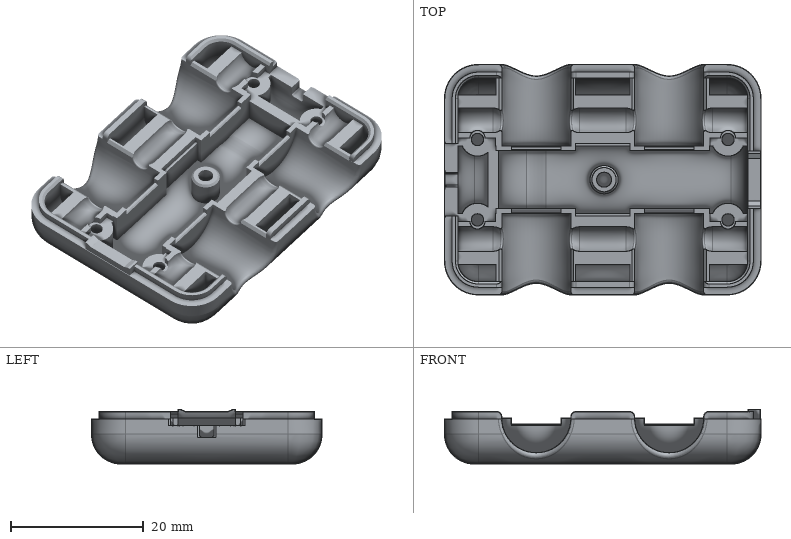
import cadquery as cq

LENGTH = 47.65
WIDTH = 34.69
CORNER_R = 5.1
BOTTOM_R = 4.5
LEDGE_Z = 6.75
LIP_Z = 7.9
TOP_Z = 8.24
LIP_INSET = 1.15
WALL = 2.0
FLOOR_Z = 1.91
CAVITY_BOTTOM_R = BOTTOM_R - WALL
LIP_CHAMFER = 0.35

CORE_Z = 6.9
SEAT_Z = 5.8
BAY_HALF = 4.36
CHANNEL_END = 5.1
BAY_END_X = 16.05

CHANNEL_X = 10.0
CHANNEL_R = 5.2
CHANNEL_EDGE_R = 0.5
CHANNEL_CHAMFER = 0.4
LIP_END_R = 0.8

NOTCH_HALF = 3.75
NOTCH_Z = 6.0
NOTCH_CHAMFER = 0.2

CRADLE_Y = 8.93
CRADLE_R = 1.85
CRADLE_RIM_R = 0.2
CRADLE_MID_HALF = 3.5
CRADLE_SIDE_X = 2 * CHANNEL_X - CRADLE_MID_HALF

POCKET_Y = 12.76
POCKET_MID_HALF = 4.1
POCKET_SIDE_X = 16.05

MID_RECESS_HALF_X = 4.14
MID_RECESS_Y = 5.45
END_RECESS_Y = 6.26
END_RECESS_X = 16.15

BOSS_X = 18.86
BOSS_Y = 6.05
BOSS_R = 2.5
BOSS_HOLE_D = 1.85
BOSS_CLEARANCE_D = 2.25
BOSS_CLEARANCE_Y = 6.3
POST_X = 0.2
POST_D = 4.25
POST_HOLE_D = 2.25
POST_CHAMFER = 0.3
CROSS_WALL_X = (-17.3, -15.66)

END_NOTCH_HALF = 5.45
SLOT_HALF = 1.08
SLOT_Z = 4.0
SLOT_CHAMFER = 0.25
FLARE_WIDTH = 0.33
FLARE_DEPTH = 0.15
OPENING_OVERRUN = 0.1
LATCH_HALF = 4.3
LATCH_INSET = 0.08
LATCH_SETBACK = 0.05
RIDGE_FLAT = 0.35
RIDGE_WIDTH = 1.1

HALF_X = LENGTH / 2
HALF_Y = WIDTH / 2
CAVITY_X = HALF_X - WALL
MARGIN = 1.0
NEAR = 0.1
SIDES = (-1, 1)


def box(x0, x1, y0, y1, z0, z1):
    return cq.Workplane("XY").box(x1 - x0, y1 - y0, z1 - z0, centered=False).translate((x0, y0, z0))


def centered_box(half_x, half_y, z0, z1):
    return box(-half_x, half_x, -half_y, half_y, z0, z1)


def cylinder(x, y, diameter, z0, z1):
    return cq.Workplane("XY", origin=(x, y, z0)).circle(diameter / 2).extrude(z1 - z0)


def rounded_slab(inset, z0, z1):
    """Upright block with the outer plan shape, offset inward."""
    slab = cq.Workplane("XY", origin=(0, 0, z0)).rect(LENGTH - 2 * inset, WIDTH - 2 * inset)
    return slab.extrude(z1 - z0).edges("|Z").fillet(CORNER_R - inset)


def for_each_corner(feature):
    """Union of one feature built for all four sign pairs of X and Y."""
    group = cq.Workplane("XY")
    for side_x in SIDES:
        for side_y in SIDES:
            group = group.union(feature(side_x, side_y))
    return group


def channel_bore(side_x, side_y):
    y0 = CHANNEL_END if side_y > 0 else -HALF_Y - MARGIN
    length = HALF_Y + MARGIN - CHANNEL_END
    bore = cq.Workplane("XZ", origin=(side_x * CHANNEL_X, y0, CORE_Z)).circle(CHANNEL_R)
    return bore.extrude(-length)


def mouth_selector(side_x, side_y):
    """Selector for the edges of one channel mouth on the outer surface."""
    x = side_x * CHANNEL_X
    reach = CHANNEL_R + MARGIN
    y_inner = side_y * (HALF_Y - BOTTOM_R)
    y_outer = side_y * (HALF_Y + MARGIN)
    return cq.selectors.BoxSelector((x - reach, y_inner, 0), (x + reach, y_outer, LEDGE_Z - NEAR))


def outer_body():
    """Tray blank with the channels cut through and their mouths rounded."""
    body = rounded_slab(0, 0, LEDGE_Z).faces("<Z").edges().fillet(BOTTOM_R)
    body = body.cut(for_each_corner(channel_bore))
    for side_x in SIDES:
        for side_y in SIDES:
            body = body.edges(mouth_selector(side_x, side_y)).fillet(CHANNEL_EDGE_R)
    return body


def channel_opening(side_x):
    """Clearance above the channel axis; it rounds off the lip ends."""
    x = side_x * CHANNEL_X
    top_half = CHANNEL_R + LIP_END_R
    shoulder_z = LIP_Z - LIP_END_R
    profile = (
        cq.Workplane("XZ", origin=(x, HALF_Y + MARGIN, 0))
        .moveTo(-CHANNEL_R, LEDGE_Z)
        .lineTo(CHANNEL_R, LEDGE_Z)
        .lineTo(CHANNEL_R, shoulder_z)
        .radiusArc((top_half, LIP_Z), LIP_END_R)
        .lineTo(top_half, TOP_Z + MARGIN)
        .lineTo(-top_half, TOP_Z + MARGIN)
        .lineTo(-top_half, LIP_Z)
        .radiusArc((-CHANNEL_R, shoulder_z), LIP_END_R)
        .close()
    )
    return profile.extrude(WIDTH + 2 * MARGIN)


def lip():
    """Locating lip; its inner rim is beveled except along the middle stretches."""
    ring = rounded_slab(LIP_INSET, LEDGE_Z, LIP_Z).cut(rounded_slab(WALL, LEDGE_Z, LIP_Z))
    plain_middle = ring.intersect(centered_box(CHANNEL_X, HALF_Y, LEDGE_Z, LIP_Z))
    rim = cq.selectors.BoxSelector(
        (-CAVITY_X - NEAR, -HALF_Y + WALL - NEAR, LEDGE_Z),
        (CAVITY_X + NEAR, HALF_Y - WALL + NEAR, LIP_Z + NEAR),
        boundingbox=True,
    )
    ring = ring.faces(">Z").edges(rim).chamfer(LIP_CHAMFER).union(plain_middle)
    for side_x in SIDES:
        ring = ring.cut(channel_opening(side_x))
    return ring


def core():
    """Inner walls and ribs standing above the ledge level."""
    return rounded_slab(WALL, LEDGE_Z, CORE_Z).cut(for_each_corner(channel_bore))


def cavity():
    return rounded_slab(WALL, FLOOR_Z, TOP_Z).faces("<Z").edges().fillet(CAVITY_BOTTOM_R)


def boss(side_x, side_y):
    return cylinder(side_x * BOSS_X, side_y * BOSS_Y, 2 * BOSS_R, 0, TOP_Z)


def bay_cut():
    """Central bay with its two ends, leaving the corner bosses and cross wall."""
    ends = box(BAY_END_X, HALF_X, -CHANNEL_END, CHANNEL_END, 0, TOP_Z)
    ends = ends.union(box(-HALF_X, CROSS_WALL_X[0], -CHANNEL_END, CHANNEL_END, 0, TOP_Z))
    plan = box(CROSS_WALL_X[1], BAY_END_X, -BAY_HALF, BAY_HALF, 0, TOP_Z)
    plan = plan.union(centered_box(MID_RECESS_HALF_X, CHANNEL_END, 0, TOP_Z))
    return cavity().intersect(plan.union(ends.cut(for_each_corner(boss))))


def seat_cut():
    """Shallow recesses over the bosses, the cross wall and the middle ledges."""
    seats = centered_box(MID_RECESS_HALF_X, MID_RECESS_Y, SEAT_Z, TOP_Z)
    seats = seats.union(box(CROSS_WALL_X[0], CROSS_WALL_X[1], -BAY_HALF, BAY_HALF, SEAT_Z, TOP_Z))
    for inner_x, half_y in ((BAY_END_X, CHANNEL_END), (END_RECESS_X, END_RECESS_Y)):
        seats = seats.union(box(inner_x, CAVITY_X, -half_y, half_y, SEAT_Z, TOP_Z))
        seats = seats.union(box(-CAVITY_X, -inner_x, -half_y, half_y, SEAT_Z, TOP_Z))
    return seats


def pocket_cut():
    plan = centered_box(POCKET_MID_HALF, HALF_Y, 0, TOP_Z)
    for x0, x1 in ((-HALF_X, -POCKET_SIDE_X), (POCKET_SIDE_X, HALF_X)):
        plan = plan.union(box(x0, x1, -HALF_Y, HALF_Y, 0, TOP_Z))
    plan = plan.cut(centered_box(HALF_X, POCKET_Y, 0, TOP_Z))
    return cavity().intersect(plan)


def capsule(x0, x1, y):
    """Rod along X whose straight part runs from x0 to x1, with hemispherical ends."""
    half_outline = (
        cq.Workplane("XY", origin=(0, y, CORE_Z))
        .moveTo(x0 - CRADLE_R, 0)
        .radiusArc((x0, CRADLE_R), CRADLE_R)
        .lineTo(x1, CRADLE_R)
        .radiusArc((x1 + CRADLE_R, 0), CRADLE_R)
        .close()
    )
    return half_outline.revolve(360, (0, 0, 0), (1, 0, 0))


def cradle_cut():
    cut = cq.Workplane("XY")
    spans = (
        (-HALF_X, -CRADLE_SIDE_X),
        (-CRADLE_MID_HALF, CRADLE_MID_HALF),
        (CRADLE_SIDE_X, HALF_X),
    )
    for side_y in SIDES:
        for x0, x1 in spans:
            cut = cut.union(capsule(x0, x1, side_y * CRADLE_Y))
    inside = rounded_slab(WALL, 0, TOP_Z)
    return cut.intersect(inside)


def round_cradle_rims(body):
    """Round the edges where the cradle ends break into the channels."""
    for side_y in SIDES:
        y = side_y * CRADLE_Y
        for side_x in SIDES:
            for rim_side in SIDES:
                x = side_x * CHANNEL_X + rim_side * CHANNEL_R
                zone = cq.selectors.BoxSelector(
                    (x - CRADLE_R / 2, y - CRADLE_R, CORE_Z - CRADLE_R),
                    (x + CRADLE_R / 2, y + CRADLE_R, CORE_Z - NEAR),
                )
                body = body.edges(zone).fillet(CRADLE_RIM_R)
    return body


def channel_bevel(side_x, side_y):
    """Bevel on both channel rims, from the cradle out to the lip."""
    x = side_x * CHANNEL_X
    wide = CHANNEL_R + CHANNEL_CHAMFER
    half = CHANNEL_R - NEAR
    low = CORE_Z - CHANNEL_CHAMFER - NEAR
    profile = cq.Workplane("XZ", origin=(x, HALF_Y - WALL, 0)).polyline([
        (-wide, CORE_Z),
        (wide, CORE_Z),
        (half, low),
        (-half, low),
    ]).close().extrude(HALF_Y - WALL - CRADLE_Y)
    return profile if side_y > 0 else profile.mirror("XZ")


def wall_notch(side_x, side_y):
    """Opening in a channel end wall; its bottom is beveled on both faces."""
    x = side_x * CHANNEL_X - NOTCH_HALF
    low = NOTCH_Z - NOTCH_CHAMFER
    profile = cq.Workplane("YZ", origin=(x, 0, 0)).polyline([
        (BAY_HALF, TOP_Z),
        (BAY_HALF, low),
        (BAY_HALF + NOTCH_CHAMFER, NOTCH_Z),
        (CHANNEL_END - NOTCH_CHAMFER, NOTCH_Z),
        (CHANNEL_END, low),
        (CHANNEL_END, TOP_Z),
    ]).close().extrude(2 * NOTCH_HALF)
    return profile if side_y > 0 else profile.mirror("XZ")


def trough_cut():
    """Shallow continuation of the -X channel across the bay floor."""
    trough = cq.Workplane("XZ", origin=(-CHANNEL_X, BAY_HALF, CORE_Z)).circle(CHANNEL_R)
    return trough.extrude(2 * BAY_HALF)


def boss_hole(side_x, side_y):
    """Screw hole in a corner boss with clearance through the wall beside it."""
    x = side_x * BOSS_X
    y = side_y * BOSS_Y
    hole = cylinder(x, y, BOSS_HOLE_D, FLOOR_Z, SEAT_Z)
    return hole.union(cylinder(x, side_y * BOSS_CLEARANCE_Y, BOSS_CLEARANCE_D, SEAT_Z, TOP_Z))


def center_post():
    post = cylinder(POST_X, 0, POST_D, FLOOR_Z - MARGIN, SEAT_Z)
    post = post.faces(">Z").edges().chamfer(POST_CHAMFER)
    return post.cut(cylinder(POST_X, 0, POST_HOLE_D, FLOOR_Z, SEAT_Z))


def flared_opening(half, z0, z1):
    """Opening through the -X wall that widens at the outer face."""
    wide = half + FLARE_WIDTH
    inner_x = -CAVITY_X + OPENING_OVERRUN
    outline = [
        (-HALF_X, -wide),
        (-HALF_X + FLARE_DEPTH, -half),
        (inner_x, -half),
        (inner_x, half),
        (-HALF_X + FLARE_DEPTH, half),
        (-HALF_X, wide),
    ]
    return cq.Workplane("XY", origin=(0, 0, z0)).polyline(outline).close().extrude(z1 - z0)


def end_notch():
    notch = flared_opening(END_NOTCH_HALF, SEAT_Z, TOP_Z)
    slot = flared_opening(SLOT_HALF, SLOT_Z, SEAT_Z)
    return notch.union(slot.faces("<Z").edges("|X").chamfer(SLOT_CHAMFER))


def latch_seat():
    """Strip removed from the +X wall and lip to set the latch back."""
    return box(CAVITY_X - MARGIN, CAVITY_X + LATCH_SETBACK, -LATCH_HALF, LATCH_HALF, CORE_Z, TOP_Z)


def latch():
    """Raised block on the +X wall with a ridge at each end."""
    ridge_half = [
        (-LATCH_HALF, LEDGE_Z),
        (-LATCH_HALF, TOP_Z),
        (-LATCH_HALF + RIDGE_FLAT, TOP_Z),
        (-LATCH_HALF + RIDGE_WIDTH, LIP_Z),
    ]
    mirrored_half = [(-y, z) for y, z in reversed(ridge_half)]
    profile = cq.Workplane("YZ", origin=(CAVITY_X + LATCH_SETBACK, 0, 0))
    profile = profile.polyline(ridge_half + mirrored_half).close()
    return profile.extrude(WALL - LATCH_SETBACK - LATCH_INSET)


result = outer_body().union(core()).cut(cradle_cut())
result = round_cradle_rims(result).union(lip())
result = result.cut(bay_cut()).cut(pocket_cut()).cut(seat_cut())
result = result.cut(for_each_corner(channel_bevel)).cut(for_each_corner(wall_notch))
result = result.cut(trough_cut()).cut(for_each_corner(boss_hole)).cut(end_notch())
result = result.cut(latch_seat()).union(center_post()).union(latch())